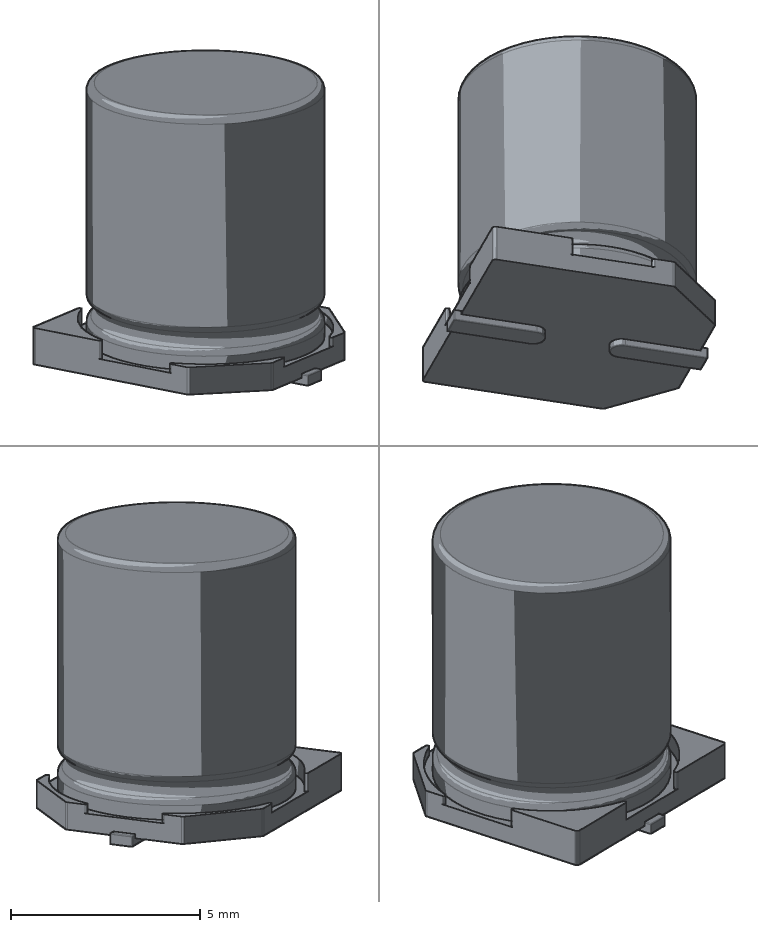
import cadquery as cq

total_height = 7.7
terminal_span = 7.0
base_side = 6.6

base_bottom = 0.19
floor_height = 0.7
tall_post_height = 1.2
short_post_height = 0.95
recess_radius = 3.38
notch_width = 2.19
corner_chamfer = 1.6
corner_round = 0.1
post_tip_round = 0.058

can_radius = 3.15
can_round = 0.2
groove_radius = 0.25
groove_height = 1.5

terminal_length = 2.6
terminal_width = 0.65
terminal_height = 0.31
terminal_edge_round = 0.02


def make_terminal(side):
    """Flat lead along X with a semicircular inner end and softened edges; side is -1 or +1."""
    half_width = terminal_width / 2
    outer_x = side * terminal_span / 2
    arc_start_x = outer_x - side * (terminal_length - half_width)
    inner_x = outer_x - side * terminal_length
    lead = (
        cq.Workplane("XY")
        .moveTo(outer_x, -half_width)
        .lineTo(arc_start_x, -half_width)
        .threePointArc((inner_x, 0), (arc_start_x, half_width))
        .lineTo(outer_x, half_width)
        .close()
        .extrude(terminal_height)
    )
    outer_face = ">X" if side > 0 else "<X"
    return lead.faces(f"|Z or {outer_face}").edges().fillet(terminal_edge_round)


def make_base(terminals):
    """Square moulding with four corner posts around a round recess."""
    block = (
        cq.Workplane("XY")
        .workplane(offset=base_bottom)
        .rect(base_side, base_side)
        .extrude(tall_post_height - base_bottom)
        .edges("|Z and >X").chamfer(corner_chamfer)
        .edges("|Z").fillet(corner_round)
    )

    lowering = (
        cq.Workplane("XY")
        .workplane(offset=short_post_height)
        .center(base_side / 2, 0)
        .rect(base_side, 2 * base_side)
        .extrude(total_height)
    )

    above_floor = cq.Workplane("XY").workplane(offset=floor_height)
    recess = above_floor.circle(recess_radius).extrude(total_height)
    notch_x = above_floor.rect(2 * base_side, notch_width).extrude(total_height)
    notch_y = above_floor.rect(notch_width, 2 * base_side).extrude(total_height)
    base = block.cut(lowering).cut(recess.union(notch_x).union(notch_y))

    tip_limit = notch_width / 2 + post_tip_round
    tips_along_x = cq.selectors.BoxSelector(
        (-base_side, -tip_limit, floor_height), (base_side, tip_limit, total_height)
    )
    tips_along_y = cq.selectors.BoxSelector(
        (-tip_limit, -base_side, floor_height), (tip_limit, base_side, total_height)
    )
    base = base.edges("|Z").edges(tips_along_x + tips_along_y).fillet(post_tip_round)

    for terminal in terminals:
        base = base.cut(terminal)
    return base


def make_can():
    """Cylinder with a crimp groove near its foot and a rounded top rim."""
    cylinder = (
        cq.Workplane("XY")
        .workplane(offset=floor_height)
        .circle(can_radius)
        .extrude(total_height - floor_height)
    )
    groove = (
        cq.Workplane("XZ")
        .center(can_radius, groove_height)
        .circle(groove_radius)
        .revolve(360, (-can_radius, 0), (-can_radius, 1))
    )
    can = cylinder.cut(groove)
    rim_and_groove = cq.selectors.BoxSelector(
        (-can_radius, -can_radius, groove_height - 2 * groove_radius),
        (can_radius, can_radius, total_height + can_round),
    )
    return can.edges("%CIRCLE").edges(rim_and_groove).fillet(can_round)


terminals = [make_terminal(side) for side in (-1, 1)]
base = make_base(terminals)
can = make_can()

result = cq.Compound.makeCompound(
    [base.solids().val(), can.solids().val(), *[terminal.solids().val() for terminal in terminals]]
)